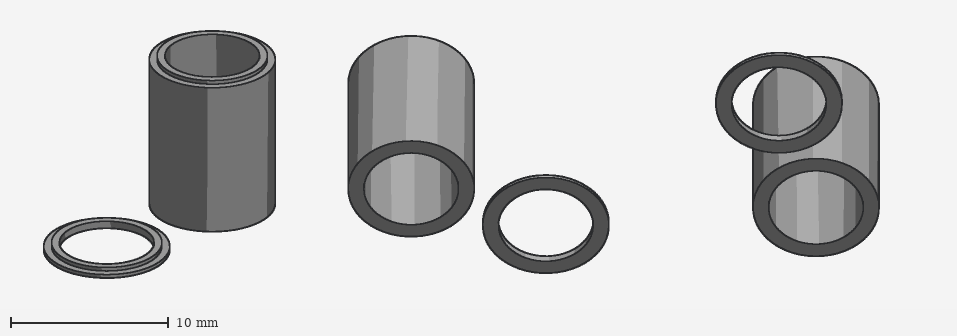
import cadquery as cq

overall_length = 17.0
overall_height = 10.75
outer_diameter = 8.0
lip_diameter = 7.0
bore_diameter = 6.0
lip_height = 0.25
flange_thickness = 0.25

center_spacing = overall_length - outer_diameter
sleeve_body_height = overall_height - flange_thickness - lip_height


def stepped_tube(body_height):
    """Tube standing on Z = 0 with a narrower lip on top and a through bore."""
    body = cq.Workplane("XY").circle(outer_diameter / 2).extrude(body_height)
    lip = (
        cq.Workplane("XY")
        .workplane(offset=body_height)
        .circle(lip_diameter / 2)
        .extrude(lip_height)
    )
    bore = cq.Workplane("XY").circle(bore_diameter / 2).extrude(body_height + lip_height)
    return body.union(lip).cut(bore)


sleeve = stepped_tube(sleeve_body_height).translate((0, center_spacing, 0))

ring = stepped_tube(flange_thickness).translate((0, 0, -flange_thickness))

result = cq.Compound.makeCompound([sleeve.val(), ring.val()])